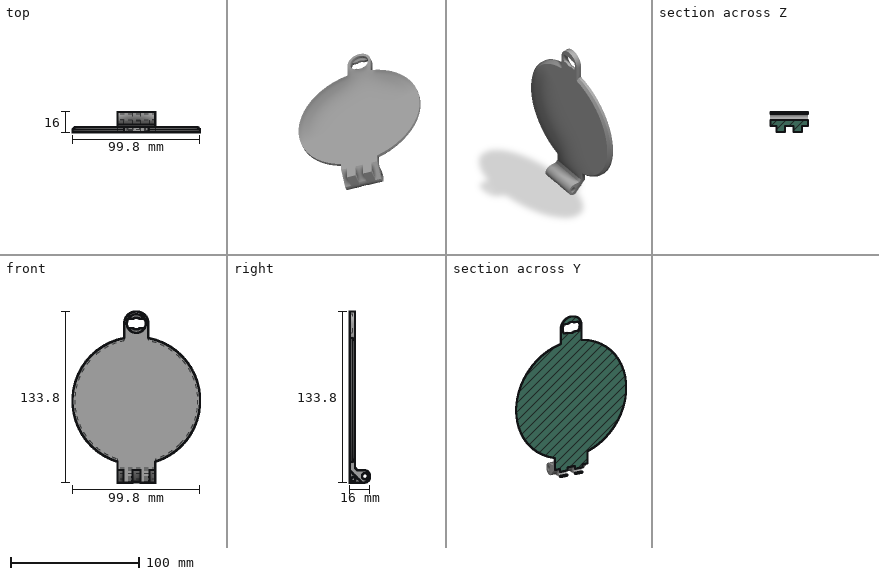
import cadquery as cq

total_height = 133.8
thickness = 4.3
disc_diameter = 99.8
disc_center_z = 64.1
disc_chamfer = 2.0

eye_width = 19.0
eye_center_z = total_height - eye_width / 2
eye_bore_diameter = 14.6
eye_lip = 2.0
eye_slot_height = 7.2
eye_relief_diameter = 9.0

hinge_width = 29.6
hinge_depth = 16.0
barrel_diameter = 10.0
barrel_radius = barrel_diameter / 2
barrel_center_y = hinge_depth - barrel_radius
corner_chamfer = 1.7
pivot_diameter = 4.5
pivot_y = 12.0
pivot_z = 5.2
pin_diameter = 3.0
pin_offset = 3.0
tooth_width = 7.0
tooth_gap = 6.3
notch_size = 9.9
middle_barrel_radius = 4.8
relief_start_y = 8.0


def cylinder_y(diameter, center_z, start_y, end_y):
    """Cylinder along Y, centred on X = 0."""
    plane = cq.Workplane("XZ", origin=(0, start_y, center_z))
    return plane.circle(diameter / 2).extrude(start_y - end_y)


def block(width, start_y, end_y, start_z, end_z):
    """Box centred on X = 0."""
    size = (width, end_y - start_y, end_z - start_z)
    center = (0, (start_y + end_y) / 2, (start_z + end_z) / 2)
    return cq.Workplane("XY").box(*size).translate(center)


def centered_side_sketch(width):
    """YZ workplane from which an extrusion of this width is centred on X = 0."""
    return cq.Workplane("YZ", origin=(-width / 2, 0, 0))


def make_disc():
    disc = cylinder_y(disc_diameter, disc_center_z, 0, thickness)
    return disc.faces(">Y").chamfer(disc_chamfer)


def make_eyelet():
    stem = block(eye_width, 0, thickness, disc_center_z, eye_center_z)
    return stem.union(cylinder_y(eye_width, eye_center_z, 0, thickness))


def make_eye_opening():
    """Round bore from the front, narrowed at the back by two lips with curved reliefs."""
    lip_front = thickness - eye_lip
    bore = cylinder_y(eye_bore_diameter, eye_center_z, 0, lip_front)
    half_slot = eye_slot_height / 2
    slot = block(eye_bore_diameter, 0, thickness, eye_center_z - half_slot, eye_center_z + half_slot)
    slot = slot.intersect(cylinder_y(eye_bore_diameter, eye_center_z, 0, thickness))
    relief = cylinder_y(eye_relief_diameter, eye_center_z, 0, thickness)
    return bore.union(slot).union(relief)


def make_hinge():
    """Plate tail with a rounded barrel behind it and a chamfered inner corner."""
    return (
        centered_side_sketch(hinge_width)
        .moveTo(0, 0)
        .lineTo(barrel_center_y, 0)
        .threePointArc((hinge_depth, barrel_radius), (barrel_center_y, barrel_diameter))
        .lineTo(thickness + corner_chamfer, barrel_diameter)
        .lineTo(thickness, barrel_diameter + corner_chamfer)
        .lineTo(thickness, disc_center_z)
        .lineTo(0, disc_center_z)
        .close()
        .extrude(hinge_width)
    )


def make_notches():
    """Triangular cuts between and outside the two teeth at the front lower corner."""
    corner = [(0, 0), (notch_size, 0), (0, notch_size)]
    notches = centered_side_sketch(hinge_width).polyline(corner).close().extrude(hinge_width)
    for side in (-1, 1):
        tooth_x = side * (tooth_gap + tooth_width) / 2
        tooth_space = block(tooth_width, 0, notch_size, 0, notch_size).translate((tooth_x, 0, 0))
        notches = notches.cut(tooth_space)
    return notches


def make_barrel_relief():
    """Clearance under the barrel in the middle gap, where its underside is slightly smaller."""
    middle_barrel = (
        centered_side_sketch(tooth_gap)
        .center(hinge_depth - middle_barrel_radius, barrel_diameter - middle_barrel_radius)
        .circle(middle_barrel_radius)
        .extrude(tooth_gap)
    )
    space = block(tooth_gap, relief_start_y, hinge_depth, 0, barrel_diameter - middle_barrel_radius)
    return space.cut(middle_barrel)


def make_cross_hole(diameter, y, z):
    return centered_side_sketch(hinge_width).center(y, z).circle(diameter / 2).extrude(hinge_width)


result = (
    make_disc()
    .union(make_eyelet())
    .union(make_hinge())
    .cut(make_eye_opening())
    .cut(make_notches())
    .cut(make_barrel_relief())
    .cut(make_cross_hole(pivot_diameter, pivot_y, pivot_z))
    .cut(make_cross_hole(pin_diameter, pin_offset, pin_offset))
)